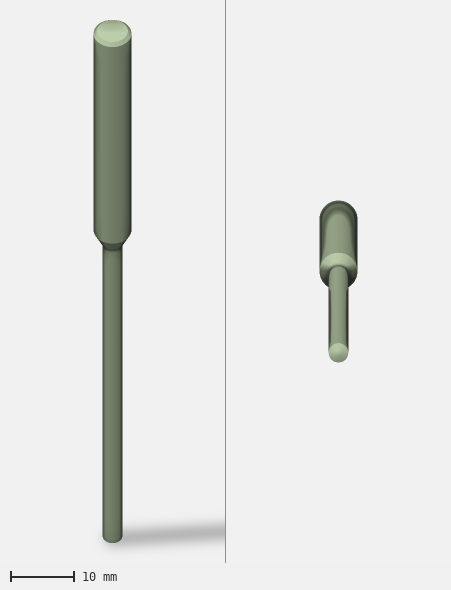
import cadquery as cq
import math

TOTAL_LENGTH = 114.6

drill_diameter = 3.1
point_angle = 140.0
cutting_length = 47.1

shank_diameter = 6.0
taper_bottom = 66.5
taper_top = 69.7
chamfer_width = 0.6
chamfer_height = 0.6

drill_radius = drill_diameter / 2
shank_radius = shank_diameter / 2
point_height = drill_radius / math.tan(math.radians(point_angle / 2))


def turned_body(profile):
    """Revolve a closed (radius, height) outline about Z, starting on the -Y side."""
    outline = [(-radius, height) for radius, height in profile]
    return cq.Workplane("YZ").polyline(outline).close().revolve(360, (0, 0, 0), (0, 1, 0))


def make_cutting_portion():
    """Plain cylinder ending in a conical point."""
    return turned_body([
        (0, 0),
        (drill_radius, point_height),
        (drill_radius, cutting_length),
        (0, cutting_length),
    ])


def make_shank():
    """Neck, taper and chamfered shank, seated on the end of the cutting portion."""
    return turned_body([
        (0, cutting_length),
        (drill_radius, cutting_length),
        (drill_radius, taper_bottom),
        (shank_radius, taper_top),
        (shank_radius, TOTAL_LENGTH - chamfer_height),
        (shank_radius - chamfer_width, TOTAL_LENGTH),
        (0, TOTAL_LENGTH),
    ])


cutting_portion = make_cutting_portion()
shank = make_shank()

result = cq.Compound.makeCompound([cutting_portion.val(), shank.val()])